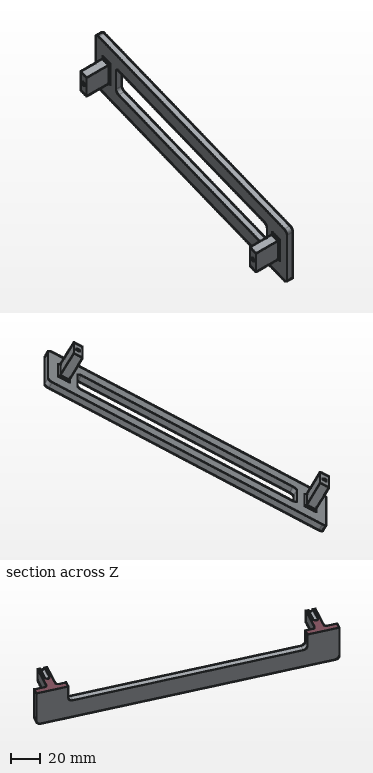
import cadquery as cq

plate_length = 217.0
plate_height = 55.0
plate_thickness = 5.0
plate_corner_radius = 3.3

window_length = 171.0
window_height = 25.5
window_corner_radius = 3.0

overall_depth = 24.5
leg_length = overall_depth - plate_thickness
leg_width = 7.0
leg_height = 20.0
leg_spacing = 192.0
leg_base_flare = 1.0

hole_diameter = 3.0
hole_depth = 10.8
drill_tip_depth = 1.0

leg_end_y = -leg_length


def rounded_panel(length, height, radius):
    """Panel from Y = 0 to the back of the plate, with rounded corners."""
    return (
        cq.Workplane("XZ")
        .rect(length, height)
        .extrude(-plate_thickness)
        .edges("|Y")
        .fillet(radius)
    )


def leg(center_x):
    """Rectangular leg with a sloped flare where it meets the plate."""
    post = (
        cq.Workplane("XZ")
        .center(center_x, 0)
        .rect(leg_width, leg_height)
        .extrude(leg_length)
    )
    flare = (
        cq.Workplane("XZ")
        .center(center_x, 0)
        .rect(leg_width + 2 * leg_base_flare, leg_height + 2 * leg_base_flare)
        .workplane(offset=leg_base_flare)
        .rect(leg_width, leg_height)
        .loft(ruled=True)
    )
    return post.union(flare)


def screw_hole(center_x):
    """Drill shape entering the leg end, revolved about the hole axis."""
    hole_radius = hole_diameter / 2
    return (
        cq.Workplane("XY", origin=(center_x, leg_end_y, 0))
        .lineTo(hole_radius, 0)
        .lineTo(hole_radius, hole_depth)
        .lineTo(0, hole_depth + drill_tip_depth)
        .close()
        .revolve(360, (0, 0, 0), (0, 1, 0))
    )


result = rounded_panel(plate_length, plate_height, plate_corner_radius).cut(
    rounded_panel(window_length, window_height, window_corner_radius)
)
for leg_x in (-leg_spacing / 2, leg_spacing / 2):
    result = result.union(leg(leg_x)).cut(screw_hole(leg_x))